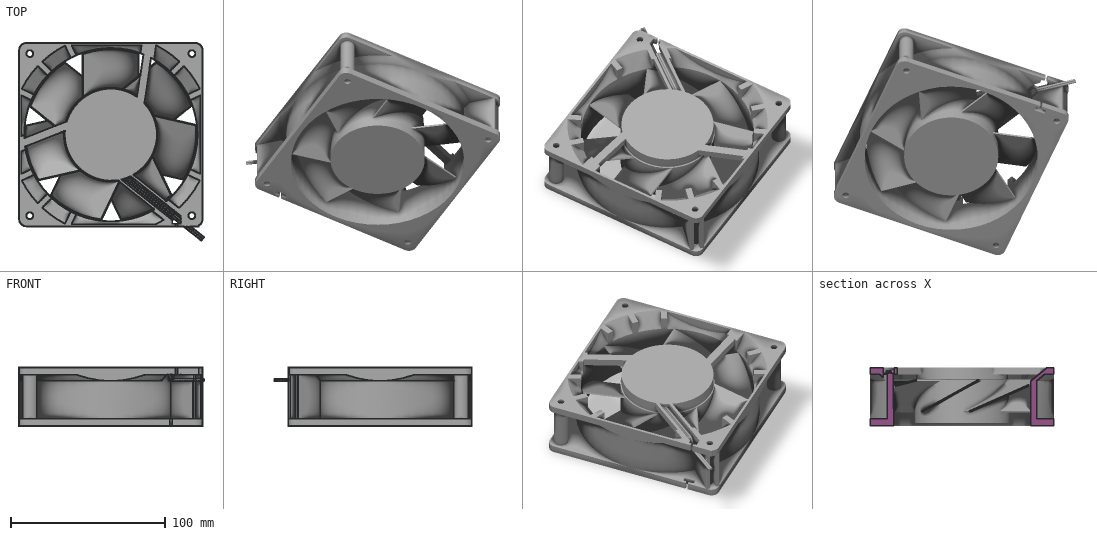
import cadquery as cq
import math

SIDE = 119.0
HEIGHT = 38.0
FLANGE = 4.75
CORNER_RADIUS = 5.0
PATCH_END_X = 57.0
RIM_WALL = 1.6
UNDERSIDE = HEIGHT - FLANGE

HOLE_PITCH = 105.0
HOLE_DIAMETER = 4.3
POST_RADIUS = 4.65
HOLE_DISTANCE = HOLE_PITCH / math.sqrt(2)
CORNER_ANGLES = (45, 135, 225, 315)
WEB_ANGLES = (135, 315)
WEB_END = 80.0
WEB_ROOT = 2.0

BORE_RADIUS = 56.1
DUCT_RADIUS = 59.5
FLARE_START = 29.2

RIB_WIDTH = 4.0
RIB_ROOT = 1.0
RIB_OFFSET = 19.5

CAP_RADIUS = 29.8
CAP_HEIGHT = 7.4
ROTOR_RADIUS = 30.5
ROTOR_GAP = 0.4
ROTOR_BASE = 2.0
SHAFT_RADIUS = 10.0
ROTOR_TOP = HEIGHT - CAP_HEIGHT - ROTOR_GAP

BLADE_COUNT = 7
FIRST_BLADE_ANGLE = 90
BLADE_TIP_RADIUS = 55.3
BLADE_HALF_WIDTH = 18.0
BLADE_DROP = 20.4
BLADE_THICKNESS = 1.0
BLADE_ROOT = 1.0
BLADE_TOP = ROTOR_TOP - 0.1

CABLE_ANGLE = -38.5
PLAIN_STRUT_ANGLES = (CABLE_ANGLE + 120, CABLE_ANGLE + 240)
STRUT_OFFSET = -15.8
STRUT_WIDTH = 5.3
STRUT_RIB_WIDTH = 9.2
CABLE_STRUT_WIDTH = 9.2
CABLE_RIB_WIDTH = 12.3
STRUT_END = 64.0

CHANNEL_WIDTH = 5.4
CHANNEL_FLOOR = 34.4
CHANNEL_START = 20.0
OPENING_START_X = 36.9
OPENING_END_X = 45.4
OPENING_WALL = 1.8
BOX_DEPTH = 2.7
UPPER_BOX_START_X = 39.8
LOWER_BOX_X = (36.0, 43.3)
UPPER_SLIT_X = 42.6
LOWER_SLIT_X = 39.05
SLIT_WIDTH = 1.6
WIRE_RADIUS = 0.75
WIRE_OVERLAP = 0.05
WIRE_BEND = (60.5, 63.5)
WIRE_END = 88.55
WIRE_EXIT_Z = 29.75


def cylinder(radius, bottom, top):
    return cq.Workplane("XY").workplane(offset=bottom).circle(radius).extrude(top - bottom)


def block(x_limits, y_limits, bottom, top):
    size = (x_limits[1] - x_limits[0], y_limits[1] - y_limits[0], top - bottom)
    return cq.Workplane("XY").box(*size, centered=False).translate((x_limits[0], y_limits[0], bottom))


def turned(shape, angle):
    return shape.rotate((0, 0, 0), (0, 0, 1), angle)


def bar(start, end, offset, width, bottom, top, angle):
    """Straight bar running outward at an angle, displaced sideways from the fan axis."""
    limits = (offset - width / 2, offset + width / 2)
    return turned(block((start, end), limits, bottom, top), angle)


def square(side, bottom, top):
    return block((-side / 2, side / 2), (-side / 2, side / 2), bottom, top)


def flare(radius, top):
    """Solid widening at 45 degrees from the given radius at the start of the flare."""
    rise = top - FLARE_START
    profile = [(0, FLARE_START), (radius, FLARE_START), (radius + rise, top), (0, top)]
    return cq.Workplane("XZ").polyline(profile).close().revolve(360, (0, 0, 0), (0, 1, 0))


def corner_support(angle, has_web):
    """Round post at the mounting hole, or a web from the duct to the corner slotted at the hole."""
    if not has_web:
        return turned(cylinder(POST_RADIUS, 0, HEIGHT).translate((HOLE_DISTANCE, 0, 0)), angle)
    web = bar(DUCT_RADIUS - WEB_ROOT, WEB_END, 0, 2 * POST_RADIUS, 0, HEIGHT, angle)
    return web.cut(bar(HOLE_DISTANCE, WEB_END, 0, HOLE_DIAMETER, FLANGE, UNDERSIDE, angle))


def square_corner_patch():
    """Extends the straight front edge of the upper flange at the cable corner."""
    edge = SIDE / 2
    start = edge - CORNER_RADIUS
    return block((start, PATCH_END_X), (-edge, -start), UNDERSIDE, HEIGHT)


def build_frame():
    """Flanges, flared duct and corner supports, with the inlet, bore and mounting holes cut out."""
    outline = square(SIDE, 0, HEIGHT).edges("|Z").fillet(CORNER_RADIUS)
    frame = square(SIDE, 0, FLANGE).union(square(SIDE, UNDERSIDE, HEIGHT))
    frame = frame.union(cylinder(DUCT_RADIUS, 0, HEIGHT)).union(flare(DUCT_RADIUS, HEIGHT))
    for angle in CORNER_ANGLES:
        frame = frame.union(corner_support(angle, angle in WEB_ANGLES))
    frame = frame.intersect(outline).union(square_corner_patch())
    inlet = flare(BORE_RADIUS, HEIGHT).intersect(square(SIDE - 2 * RIM_WALL, 0, HEIGHT))
    frame = frame.cut(inlet).cut(cylinder(BORE_RADIUS, 0, HEIGHT))
    half_pitch = HOLE_PITCH / 2
    corners = [(x, y) for x in (-half_pitch, half_pitch) for y in (-half_pitch, half_pitch)]
    holes = cq.Workplane("XY").pushPoints(corners).circle(HOLE_DIAMETER / 2).extrude(HEIGHT)
    return frame.cut(holes)


def build_ribs():
    """Radial ribs and wider strut feet filling the flare; feet replace the ribs they meet."""
    reach = BORE_RADIUS + HEIGHT - FLARE_START
    first, second, third, cable_corner = CORNER_ANGLES
    angles = [first - RIB_OFFSET, first, cable_corner + RIB_OFFSET]
    for corner in (second, third):
        angles += [corner - RIB_OFFSET, corner, corner + RIB_OFFSET]
    ribs = bar(0, reach, STRUT_OFFSET, CABLE_RIB_WIDTH, FLARE_START, HEIGHT, CABLE_ANGLE)
    for angle in PLAIN_STRUT_ANGLES:
        ribs = ribs.union(bar(0, reach, STRUT_OFFSET, STRUT_RIB_WIDTH, FLARE_START, HEIGHT, angle))
    for angle in angles:
        ribs = ribs.union(bar(0, reach, 0, RIB_WIDTH, FLARE_START, HEIGHT, angle))
    limit = flare(BORE_RADIUS + RIB_ROOT, HEIGHT).intersect(square(SIDE - RIM_WALL, 0, HEIGHT))
    return ribs.intersect(limit).cut(cylinder(BORE_RADIUS, 0, HEIGHT))


def build_struts():
    struts = bar(0, STRUT_END, STRUT_OFFSET, CABLE_STRUT_WIDTH, UNDERSIDE, HEIGHT, CABLE_ANGLE)
    for angle in PLAIN_STRUT_ANGLES:
        struts = struts.union(bar(0, STRUT_END, STRUT_OFFSET, STRUT_WIDTH, UNDERSIDE, HEIGHT, angle))
    return struts.intersect(square(SIDE - RIM_WALL, 0, HEIGHT))


def build_motor():
    cap = cylinder(CAP_RADIUS, HEIGHT - CAP_HEIGHT, HEIGHT)
    rotor = cylinder(ROTOR_RADIUS, ROTOR_BASE, ROTOR_TOP)
    return cap.union(rotor).union(cylinder(SHAFT_RADIUS, ROTOR_BASE, HEIGHT))


def build_blades():
    """Flat pitched plates, highest on their leading edge, trimmed to the rotor and the tip circle."""
    pitch = math.degrees(math.atan2(BLADE_DROP, 2 * BLADE_HALF_WIDTH))
    width = math.hypot(BLADE_DROP, 2 * BLADE_HALF_WIDTH)
    middle = BLADE_TOP - BLADE_DROP / 2
    plate = block((0, SIDE / 2), (-width / 2, width / 2), -BLADE_THICKNESS, 0)
    plate = plate.rotate((0, 0, 0), (1, 0, 0), pitch).translate((0, 0, middle))
    ring = cylinder(BLADE_TIP_RADIUS, 0, HEIGHT).cut(cylinder(ROTOR_RADIUS - BLADE_ROOT, 0, HEIGHT))
    blade = plate.intersect(ring)
    blades = turned(blade, FIRST_BLADE_ANGLE)
    for index in range(1, BLADE_COUNT):
        blades = blades.union(turned(blade, FIRST_BLADE_ANGLE + index * 360 / BLADE_COUNT))
    return blades


def cable_channel():
    """Trough in the cable strut, opened through the flange and below it outside the duct."""
    y_limits = (OPENING_WALL - SIDE / 2, 0)
    trough = bar(CHANNEL_START, SIDE, STRUT_OFFSET, CHANNEL_WIDTH, CHANNEL_FLOOR, HEIGHT, CABLE_ANGLE)
    trough = trough.intersect(block((0, OPENING_END_X), y_limits, 0, HEIGHT))
    trough = trough.cut(cylinder(CAP_RADIUS, 0, HEIGHT))
    drop = bar(CHANNEL_START, SIDE, STRUT_OFFSET, CHANNEL_WIDTH, UNDERSIDE, HEIGHT, CABLE_ANGLE)
    drop = drop.intersect(block((OPENING_START_X, OPENING_END_X), y_limits, 0, HEIGHT))
    below = bar(CHANNEL_START, SIDE, STRUT_OFFSET, CHANNEL_WIDTH, FLARE_START, UNDERSIDE, CABLE_ANGLE)
    below = below.cut(cylinder(DUCT_RADIUS, 0, HEIGHT))
    return trough.union(drop).union(below)


def flange_opening(box_limits, slit_x, bottom, top):
    """Rectangular opening near the front edge with a narrow slit out to the edge."""
    edge = -SIDE / 2
    box_front = edge + OPENING_WALL
    slit_limits = (slit_x - SLIT_WIDTH / 2, slit_x + SLIT_WIDTH / 2)
    opening = block(box_limits, (box_front, box_front + BOX_DEPTH), bottom, top)
    return opening.union(block(slit_limits, (edge, box_front), bottom, top))


def build_wire(offset):
    """Wire lying in the trough, dropping past the flange and leaving the frame below it."""
    trough_z = CHANNEL_FLOOR + WIRE_RADIUS - WIRE_OVERLAP
    path_points = [
        (CHANNEL_START, trough_z),
        (WIRE_BEND[0], trough_z),
        (WIRE_BEND[1], WIRE_EXIT_Z),
        (WIRE_END, WIRE_EXIT_Z),
    ]
    path = cq.Workplane("XZ").polyline(path_points)
    section = cq.Workplane("YZ", origin=(CHANNEL_START, 0, trough_z)).circle(WIRE_RADIUS)
    wire = section.sweep(path, transition="right")
    return turned(wire.translate((0, offset, 0)), CABLE_ANGLE)


result = build_frame().union(build_ribs()).union(build_struts()).union(build_motor())
result = result.union(build_blades())
result = result.cut(cable_channel())
result = result.cut(flange_opening((UPPER_BOX_START_X, OPENING_END_X), UPPER_SLIT_X, UNDERSIDE, HEIGHT))
result = result.cut(flange_opening(LOWER_BOX_X, LOWER_SLIT_X, 0, FLANGE))
for side in (-1, 1):
    wire_offset = STRUT_OFFSET + side * (WIRE_RADIUS - WIRE_OVERLAP)
    result = result.union(build_wire(wire_offset))